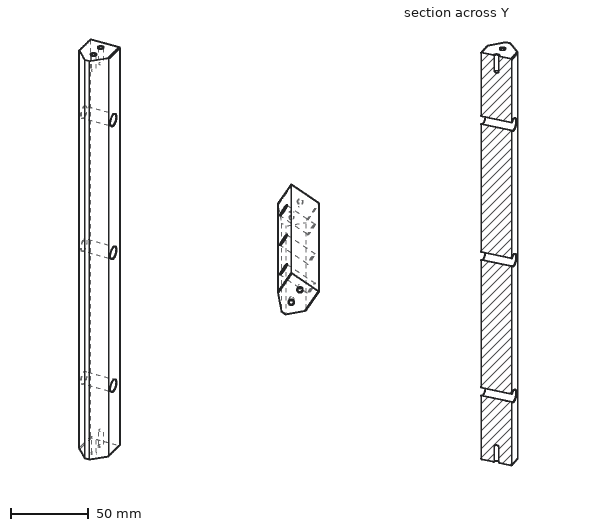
import cadquery as cq
import math

length = 300.0
width = 22.0
depth = 24.5
nose_flat = 3.3
end_chamfer = 0.5

back_y = depth / 2
nose_y = -depth / 2
shoulder_y = nose_y + (width - nose_flat) / 2

cross_count = 3
cross_diameter = 8.0
cross_rim_diameter = 8.7
cross_setback = 9.0
cross_pitch = length / cross_count
cross_y = back_y - cross_setback

end_diameter = 3.0
end_rim_diameter = 4.0
end_depth = 12.0
end_setback = 6.0
end_pitch = 10.0
end_hole_ys = (back_y - end_setback, back_y - end_setback - end_pitch)
drill_point_angle = 118


def bar():
    """Five-sided bar with a nose flat, chamfered where its two sides meet the ends."""
    outline = [
        (-width / 2, back_y),
        (width / 2, back_y),
        (width / 2, shoulder_y),
        (nose_flat / 2, nose_y),
        (-nose_flat / 2, nose_y),
        (-width / 2, shoulder_y),
    ]
    body = cq.Workplane("XY").polyline(outline).close().extrude(length / 2, both=True)
    return body.faces("<X or >X").edges("<Z or >Z").chamfer(end_chamfer)


def countersink(mouth, inward, rim_diameter, hole_diameter):
    """45-degree cone narrowing from the rim at the mouth to the hole size."""
    cone_depth = (rim_diameter - hole_diameter) / 2
    return cq.Solid.makeCone(rim_diameter / 2, hole_diameter / 2, cone_depth, mouth, inward)


def cut_cross_hole(body, z):
    """Through hole along X at height z, countersunk at both mouths."""
    left_mouth = cq.Vector(-width / 2, cross_y, z)
    right_mouth = cq.Vector(width / 2, cross_y, z)
    rightward = cq.Vector(1, 0, 0)
    body = body.cut(cq.Solid.makeCylinder(cross_diameter / 2, width, left_mouth, rightward))
    body = body.cut(countersink(left_mouth, rightward, cross_rim_diameter, cross_diameter))
    return body.cut(countersink(right_mouth, -rightward, cross_rim_diameter, cross_diameter))


def cut_end_hole(body, y, end):
    """Countersunk blind hole with a drill point; end is +1 for the top, -1 for the bottom."""
    radius = end_diameter / 2
    point_depth = radius / math.tan(math.radians(drill_point_angle / 2))
    mouth = cq.Vector(0, y, end * length / 2)
    inward = cq.Vector(0, 0, -end)
    body = body.cut(cq.Solid.makeCylinder(radius, end_depth, mouth, inward))
    body = body.cut(cq.Solid.makeCone(radius, 0, point_depth, mouth + inward * end_depth, inward))
    return body.cut(countersink(mouth, inward, end_rim_diameter, end_diameter))


result = bar()

for i in range(cross_count):
    result = cut_cross_hole(result, (i - (cross_count - 1) / 2) * cross_pitch)

for end in (-1, 1):
    for y in end_hole_ys:
        result = cut_end_hole(result, y, end)